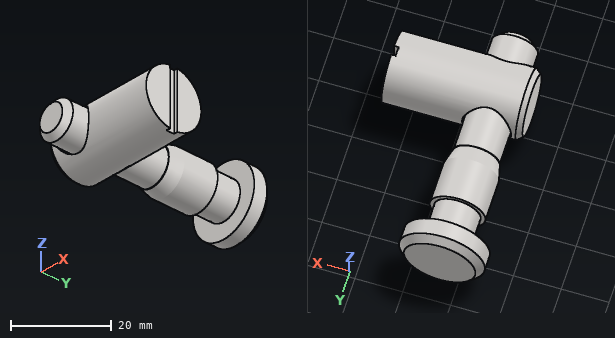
import cadquery as cq


shank_diameter = 9.7
bolt_length = 52.0
bolt_tip_y = -13.0
bolt_end_y = bolt_tip_y + bolt_length
head_diameter = 18.0
head_thickness = 5.0
bolt_chamfer = 1.5

sleeve_diameter = 11.7
sleeve_small_diameter = 10.0
sleeve_length = 12.5
sleeve_taper_length = 3.45
sleeve_back_y = bolt_end_y - 12.0

barrel_diameter = 15.05
barrel_left_x = -7.2
barrel_right_x = 22.0
barrel_chamfer_length = 1.15
barrel_chamfer_depth = 1.05
cross_hole_diameter = 10.3
slot_width = 2.0
slot_depth = 1.0


def cylinder_along_y(diameter, start_y, length):
    """Solid cylinder on the Y axis, running from start_y toward +Y."""
    return (
        cq.Workplane("XZ", origin=(0, start_y, 0))
        .circle(diameter / 2)
        .extrude(-length)
    )


def make_bolt():
    """Round-headed bolt with a chamfered tip and a chamfered head rim."""
    shank = cylinder_along_y(shank_diameter, bolt_tip_y, bolt_length - head_thickness)
    shank = shank.faces("<Y").chamfer(bolt_chamfer)
    head = cylinder_along_y(head_diameter, bolt_end_y - head_thickness, head_thickness)
    head = head.faces(">Y").chamfer(bolt_chamfer)
    return shank.union(head).solids()


def make_sleeve():
    """Plain ring that tapers toward the barrel, revolved about the bolt axis."""
    front_y = sleeve_back_y - sleeve_length
    return (
        cq.Workplane("XY")
        .moveTo(shank_diameter / 2, front_y)
        .lineTo(sleeve_small_diameter / 2, front_y)
        .lineTo(sleeve_diameter / 2, front_y + sleeve_taper_length)
        .lineTo(sleeve_diameter / 2, sleeve_back_y)
        .lineTo(shank_diameter / 2, sleeve_back_y)
        .close()
        .revolve(360, (0, 0, 0), (0, 1, 0))
    )


def make_barrel():
    """Barrel with one chamfered end, a clearance cross hole and a driver slot."""
    barrel = (
        cq.Workplane("YZ", origin=(barrel_left_x, 0, 0))
        .circle(barrel_diameter / 2)
        .extrude(barrel_right_x - barrel_left_x)
    )

    chamfer_cutter = (
        cq.Workplane("XY")
        .moveTo(barrel_left_x, barrel_diameter / 2 - barrel_chamfer_depth)
        .lineTo(barrel_left_x + barrel_chamfer_length, barrel_diameter / 2)
        .lineTo(barrel_left_x, barrel_diameter / 2)
        .close()
        .revolve(360, (0, 0, 0), (1, 0, 0))
    )

    cross_hole = cylinder_along_y(cross_hole_diameter, -barrel_diameter / 2, barrel_diameter)

    slot = (
        cq.Workplane("XY")
        .box(slot_depth, slot_width, barrel_diameter)
        .translate((barrel_right_x - slot_depth / 2, 0, 0))
    )
    return barrel.cut(chamfer_cutter).cut(cross_hole).cut(slot).solids()


bolt = make_bolt()
sleeve = make_sleeve()
barrel = make_barrel()

result = cq.Compound.makeCompound([bolt.val(), sleeve.val(), barrel.val()])